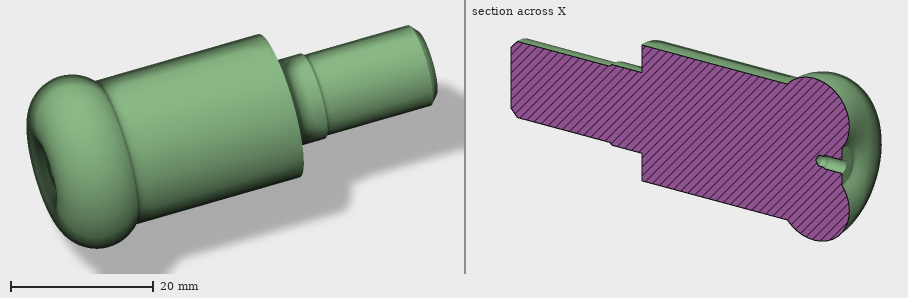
import cadquery as cq
import math

head_radius = 12.5
ring_tube_radius = 6.0
ring_center_radius = head_radius - ring_tube_radius
dimple_floor_radius = 2.9

total_length = 57.0
body_radius = 10.5
collar_radius = 6.25
shank_radius = 5.9
body_end = 35.0
collar_end = 40.35
tip_chamfer_length = 1.1
tip_chamfer_depth = 1.2

mouth_radius = 1.0
mouth_depth = 3.0
pilot_radius = 0.8
pilot_depth = 4.0
drill_tip_angle = 120.0

front = 0.0
ring_center = front + ring_tube_radius


def ring_half_width(radius):
    """Axial distance from the ring center plane to the ring surface at a given radius."""
    return math.sqrt(ring_tube_radius**2 - (radius - ring_center_radius) ** 2)


dimple_floor = ring_center - ring_half_width(dimple_floor_radius)
head_end = ring_center + ring_half_width(body_radius)


def make_stepped_pin():
    """Revolve the half outline (radius, y) a full turn about the Y axis."""
    collar_chamfer = collar_radius - shank_radius
    outline = (
        cq.Workplane("ZY")
        .moveTo(0, dimple_floor)
        .lineTo(dimple_floor_radius, dimple_floor)
        .threePointArc((head_radius, ring_center), (body_radius, head_end))
        .lineTo(body_radius, body_end)
        .lineTo(collar_radius, body_end)
        .lineTo(collar_radius, collar_end - collar_chamfer)
        .lineTo(shank_radius, collar_end)
        .lineTo(shank_radius, total_length - tip_chamfer_length)
        .lineTo(shank_radius - tip_chamfer_depth, total_length)
        .lineTo(0, total_length)
        .close()
    )
    return outline.revolve(360, (0, 0, 0), (0, 1, 0))


def drill_cone_length(large_radius, small_radius):
    """Length of the cone a drill tip leaves between two radii."""
    return (large_radius - small_radius) / math.tan(math.radians(drill_tip_angle / 2))


def make_center_hole():
    """Blind two-diameter hole with a conical shoulder and a conical bottom."""
    mouth_bottom = dimple_floor + mouth_depth
    pilot_start = mouth_bottom + drill_cone_length(mouth_radius, pilot_radius)
    pilot_bottom = dimple_floor + pilot_depth
    pilot_tip = pilot_bottom + drill_cone_length(pilot_radius, 0)
    outline = (
        cq.Workplane("ZY")
        .moveTo(0, dimple_floor)
        .lineTo(mouth_radius, dimple_floor)
        .lineTo(mouth_radius, mouth_bottom)
        .lineTo(pilot_radius, pilot_start)
        .lineTo(pilot_radius, pilot_bottom)
        .lineTo(0, pilot_tip)
        .close()
    )
    return outline.revolve(360, (0, 0, 0), (0, 1, 0))


result = make_stepped_pin().cut(make_center_hole())